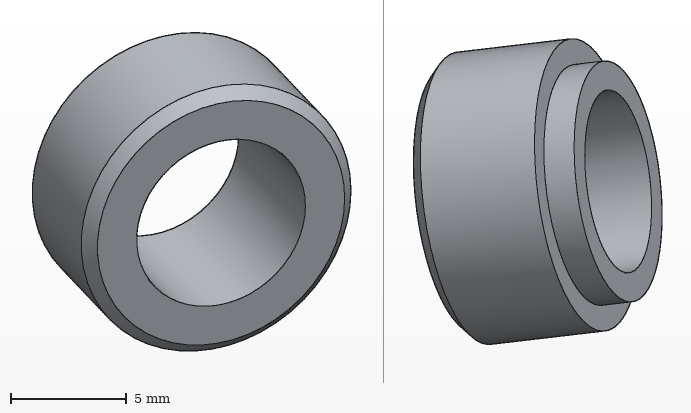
import cadquery as cq

total_length = 7.21
body_diameter = 12.7
collar_diameter = 10.46
bore_diameter = 7.94
collar_length = 1.4
chamfer_size = 0.53


def cylinder_along_x(diameter, start, length):
    """Solid cylinder on the X axis, beginning at x = start."""
    return cq.Workplane("YZ", origin=(start, 0, 0)).circle(diameter / 2).extrude(length)


body = cylinder_along_x(body_diameter, collar_length, total_length - collar_length)
body = body.faces(">X").edges().chamfer(chamfer_size)

collar = cylinder_along_x(collar_diameter, 0, collar_length)
bore = cylinder_along_x(bore_diameter, 0, total_length)

result = body.union(collar).cut(bore)